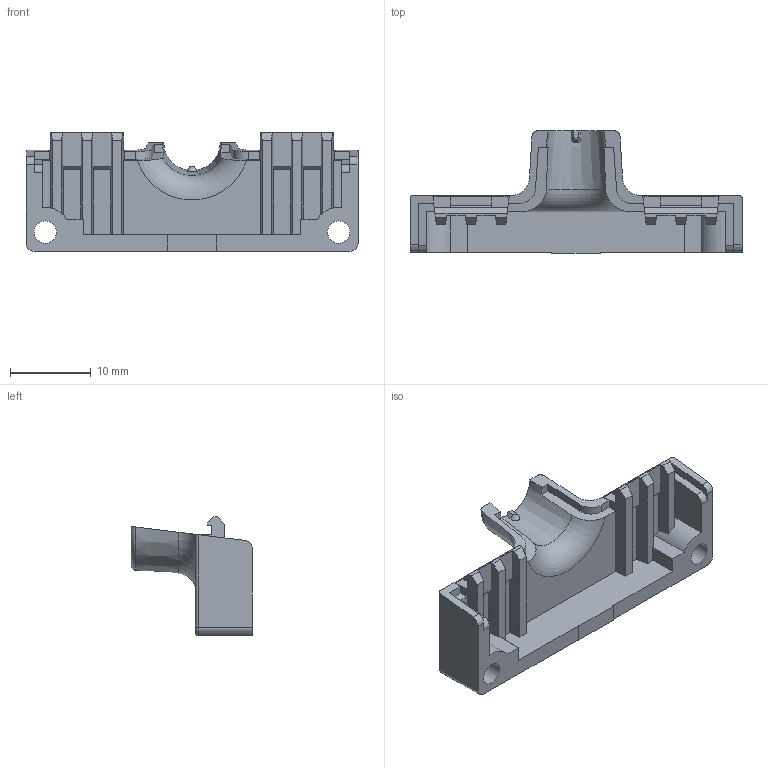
import cadquery as cq
import math

width = 41.12
body_depth = 7.0
spout_back_y = 15.0
wall = 2.0
back_wall_front_y = body_depth - wall
corner_radius = 1.0
back_edge_radius = 0.3
pad_half_width = 3.03
pad_proud = 0.1

rim_slope = math.tan(math.radians(7))
axis_z = 13.5
rim_front_radius = 1.0
lip = 1.0
ledge_drop = 1.0
above_all = 20.0

cavity_half_width = width / 2 - wall
floor_z = 2.1
step_x = 13.47
step_z = 4.0
hole_x = 18.16
hole_z = 2.4
hole_diameter = 2.78
boss_radius = 3.07

spout_end_radius = 5.4
spout_taper = math.radians(4)
spout_flare_radius = 2.3
spout_edge_radius = 0.65
bore_end_radius = 3.5
bore_taper = math.radians(5)
bore_flare_radius = 3.0
spout_ledge_end_y = spout_back_y - 2.0
spout_ledge_end_x = 4.66
ledge_corner_radius = 2.0

key_half_width = 0.81
key_length = 1.6
key_top_z = 10.5
key_root_depth = 0.3
key_draft = 35

latch_center_x = 13.0
rib_pitch = 3.73
rib_front_y = 3.4
rib_tip_half_width = 0.57
latch_draft = math.tan(math.radians(7))
plate_front_y = 4.58
plate_bottom_z = 10.15
latch_top_z = 14.73
rib_chamfer_depth = 0.88
rib_chamfer_height = 0.97
nose_y = 5.5
nose_chamfer = 0.75
nose_height = 0.35
latch_wall_top_z = 12.5

pocket_half_width = 2.54
pocket_depth = 0.8


def rim_z(y):
    return axis_z - (spout_back_y - y) * rim_slope


def mirrored_pair(solid):
    """The solid together with its mirror image across the X = 0 plane."""
    return solid.union(solid.mirror("YZ"))


def along_x(points, half_length):
    """A prism along X with a (Y, Z) outline."""
    return cq.Workplane("YZ").polyline(points).close().extrude(half_length, both=True)


def sloped_block(drop, back_y):
    """Everything below the rim surface lowered by drop, with a rounded front edge."""
    outline = [
        (0, 0),
        (back_y, 0),
        (back_y, rim_z(back_y) - drop),
        (0, rim_z(0) - drop),
    ]
    block = along_x(outline, width / 2)
    return block.faces("<Y").edges(">Z").fillet(rim_front_radius)


def flared_cone(end_radius, taper, flare_y, flare_radius, root_y):
    """A cone about the spout axis, widening forward into a fillet that meets Y = flare_y."""
    meet_radius = end_radius + (spout_back_y - flare_y) * math.tan(taper)
    tangent = flare_radius * math.tan((math.pi / 2 - taper) / 2)
    center = (meet_radius + tangent, flare_y + flare_radius)
    mid_angle = (math.pi / 2 - taper) / 2
    flare_end = (center[0], flare_y)
    flare_mid = (
        center[0] - flare_radius * math.sin(mid_angle),
        center[1] - flare_radius * math.cos(mid_angle),
    )
    flare_start = (
        meet_radius - tangent * math.sin(taper),
        flare_y + tangent * math.cos(taper),
    )
    return (
        cq.Workplane("XY")
        .moveTo(0, root_y)
        .lineTo(flare_end[0], root_y)
        .lineTo(*flare_end)
        .threePointArc(flare_mid, flare_start)
        .lineTo(end_radius, spout_back_y)
        .lineTo(0, spout_back_y)
        .close()
        .revolve(360, (0, 0, 0), (0, 1, 0))
        .translate((0, 0, axis_z))
    )


def make_body():
    body = sloped_block(0, body_depth)
    body = body.faces("<Z").edges("|Y").fillet(corner_radius)
    return body.faces(">Y").edges("not(>Z)").fillet(back_edge_radius)


def make_spout():
    inside_wall_y = body_depth - wall / 2
    spout = flared_cone(spout_end_radius, spout_taper, body_depth, spout_flare_radius, inside_wall_y)
    spout = spout.faces(">Y").edges().fillet(spout_edge_radius)
    return spout.intersect(sloped_block(0, spout_back_y))


def make_bore():
    return flared_cone(
        bore_end_radius, bore_taper, back_wall_front_y, bore_flare_radius, back_wall_front_y - lip
    )


def make_cavity():
    boss_wall_z = hole_z + math.sqrt(boss_radius**2 - (cavity_half_width - hole_x) ** 2)
    boss_end_x = hole_x - math.sqrt(boss_radius**2 - (step_z - hole_z) ** 2)
    diagonal = boss_radius * math.sqrt(0.5)
    half = (
        cq.Workplane("XZ")
        .moveTo(0, floor_z)
        .lineTo(step_x, floor_z)
        .lineTo(step_x, step_z)
        .lineTo(boss_end_x, step_z)
        .threePointArc((hole_x - diagonal, hole_z + diagonal), (cavity_half_width, boss_wall_z))
        .lineTo(cavity_half_width, above_all)
        .lineTo(0, above_all)
        .close()
        .extrude(-back_wall_front_y)
    )
    return mirrored_pair(half)


def make_ledge_cut():
    """Space inside the outer lip and above the ledge that runs along the rim and the spout."""
    lip_x = width / 2 - lip
    lip_y = body_depth - lip
    arc_start_y = lip_y + ledge_corner_radius
    arc_start_x = spout_ledge_end_x + (spout_ledge_end_y - arc_start_y) * math.tan(spout_taper)
    arc_end_x = arc_start_x + ledge_corner_radius
    half = (
        cq.Workplane("XY")
        .moveTo(0, 0)
        .lineTo(lip_x, 0)
        .lineTo(lip_x, lip_y)
        .lineTo(arc_end_x, lip_y)
        .radiusArc((arc_start_x, arc_start_y), ledge_corner_radius)
        .lineTo(spout_ledge_end_x, spout_ledge_end_y)
        .lineTo(0, spout_ledge_end_y)
        .close()
        .extrude(above_all)
    )
    return mirrored_pair(half).cut(sloped_block(ledge_drop, spout_back_y))


def drafted_prism(center_x, tip_half_width):
    """An upright prism above the floor whose sides spread from the rib fronts to the back."""
    back_half_width = tip_half_width + (body_depth - rib_front_y) * latch_draft
    return (
        cq.Workplane("XY", origin=(center_x, 0, floor_z))
        .moveTo(-tip_half_width, rib_front_y)
        .lineTo(tip_half_width, rib_front_y)
        .lineTo(back_half_width, body_depth)
        .lineTo(-back_half_width, body_depth)
        .close()
        .extrude(above_all)
    )


def make_latch():
    nose_top_y = nose_y - nose_chamfer
    nose_top_z = latch_top_z - nose_chamfer
    nose_bottom_z = nose_top_z - nose_height
    plate_points = [
        (back_wall_front_y, plate_bottom_z),
        (plate_front_y, plate_bottom_z + back_wall_front_y - plate_front_y),
        (plate_front_y, latch_top_z),
        (nose_top_y, latch_top_z),
        (nose_y, nose_top_z),
        (nose_y, nose_bottom_z),
        (back_wall_front_y, nose_bottom_z),
    ]
    rib_points = [
        (rib_front_y, 0),
        (rib_front_y, latch_top_z - rib_chamfer_height),
        (rib_front_y + rib_chamfer_depth, latch_top_z),
        (nose_top_y, latch_top_z),
        (back_wall_front_y, nose_bottom_z),
        (back_wall_front_y, 0),
    ]
    wall_points = [
        (back_wall_front_y, 0),
        (body_depth, 0),
        (body_depth, latch_wall_top_z),
        (back_wall_front_y, latch_wall_top_z),
    ]
    span = drafted_prism(latch_center_x, rib_pitch + rib_tip_half_width)
    latch = along_x(wall_points, width / 2).union(along_x(plate_points, width / 2)).intersect(span)
    for place in (-1, 0, 1):
        envelope = drafted_prism(latch_center_x + place * rib_pitch, rib_tip_half_width)
        latch = latch.union(along_x(rib_points, width / 2).intersect(envelope))
    return latch


def make_latch_pocket():
    """A pocket open to the back, whose floor ramps up at 45 degrees to the foot of the hook."""
    pocket_points = [
        (back_wall_front_y, latch_wall_top_z),
        (back_wall_front_y + pocket_depth, latch_wall_top_z - pocket_depth),
        (body_depth, latch_wall_top_z - pocket_depth),
        (body_depth, latch_wall_top_z),
    ]
    return along_x(pocket_points, pocket_half_width).translate((latch_center_x, 0, 0))


def make_key():
    """A drafted key with a round front end, trimmed flush with the end of the spout."""
    outline_back_y = spout_back_y + key_length
    root_z = axis_z - bore_end_radius - key_root_depth
    straight_end_y = spout_back_y - key_length + key_half_width
    key = (
        cq.Workplane("XY", origin=(0, 0, root_z))
        .moveTo(-key_half_width, outline_back_y)
        .lineTo(-key_half_width, straight_end_y)
        .threePointArc((0, spout_back_y - key_length), (key_half_width, straight_end_y))
        .lineTo(key_half_width, outline_back_y)
        .close()
        .extrude(key_top_z - root_z, taper=key_draft)
    )
    return key.intersect(sloped_block(0, spout_back_y))


def make_screw_hole():
    return (
        cq.Workplane("XZ", origin=(hole_x, 0, hole_z))
        .circle(hole_diameter / 2)
        .extrude(-body_depth)
    )


def make_pad():
    pad = cq.Workplane("XY", origin=(0, -pad_proud, 0))
    return pad.box(2 * pad_half_width, pad_proud, floor_z, centered=(True, False, False))


result = make_body().union(make_spout())
result = result.cut(make_cavity()).cut(make_ledge_cut()).cut(make_bore())
result = result.union(mirrored_pair(make_latch()))
result = result.cut(mirrored_pair(make_latch_pocket())).cut(mirrored_pair(make_screw_hole()))
result = result.union(make_key()).union(make_pad())